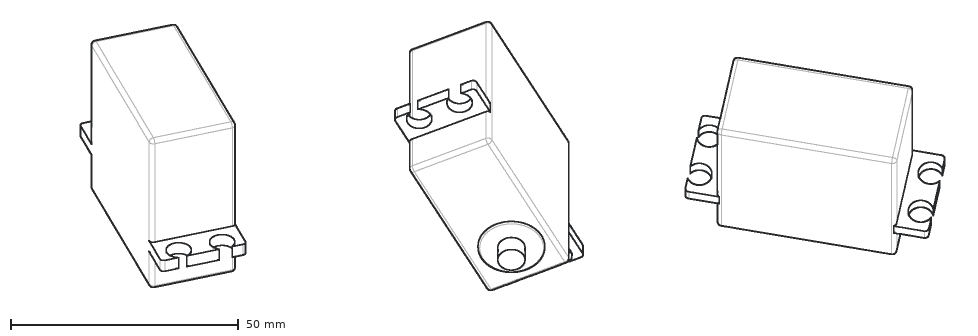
import cadquery as cq

case_length = 40.1
case_width = 20.0
case_height = 40.5
edge_radius = 1.0

flange_length = 54.5
flange_width = 19.9
flange_thickness = 2.95
flange_bottom = 9.8
flange_corner_radius = 0.85

hole_diameter = 5.55
hole_pitch_x = 49.6
hole_pitch_y = 10.05
back_row_center_x = 0.1
front_row_center_x = -0.15

shaft_x = -10.05
shaft_y = 0.5
shaft_diameter = 6.0
shaft_length = 4.4
boss_diameter = 14.7
boss_height = 0.4
boss_edge_radius = 0.3


def make_case():
    box = cq.Workplane("XY").box(case_length, case_width, case_height, centered=(True, True, False))
    return box.edges().fillet(edge_radius)


def make_flange():
    center_y = (flange_width - case_width) / 2
    return (
        cq.Workplane("XY", origin=(0, center_y, flange_bottom))
        .box(flange_length, flange_width, flange_thickness, centered=(True, True, False))
        .edges("|Z")
        .fillet(flange_corner_radius)
    )


def make_mounting_holes():
    centers = [
        (row_x + side * hole_pitch_x / 2, row_y)
        for row_x, row_y in (
            (back_row_center_x, hole_pitch_y / 2),
            (front_row_center_x, -hole_pitch_y / 2),
        )
        for side in (-1, 1)
    ]
    return (
        cq.Workplane("XY", origin=(0, 0, flange_bottom))
        .pushPoints(centers)
        .circle(hole_diameter / 2)
        .extrude(flange_thickness)
    )


def make_output():
    base = cq.Workplane("XY", origin=(shaft_x, shaft_y, edge_radius))
    boss = base.circle(boss_diameter / 2).extrude(-(edge_radius + boss_height))
    boss = boss.faces("<Z").edges().fillet(boss_edge_radius)
    shaft = base.circle(shaft_diameter / 2).extrude(-(edge_radius + shaft_length))
    return boss.union(shaft)


flange = make_flange().cut(make_mounting_holes())
result = make_case().union(flange).union(make_output())